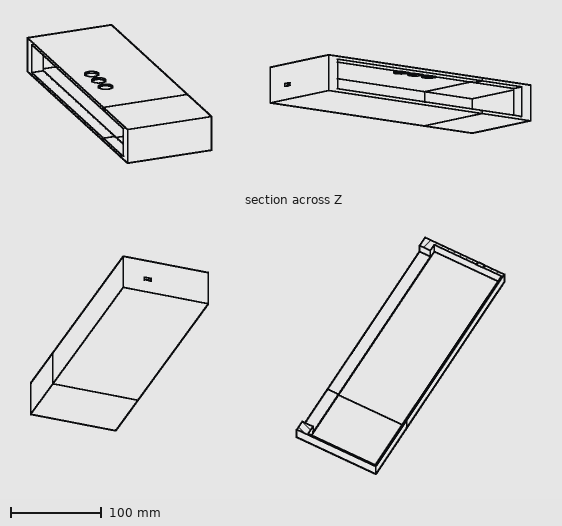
import cadquery as cq

LENGTH = 290.0
DEPTH = 100.0
HEIGHT = 40.0
SEAM_X = 220.0

WALL = 2.0
SLOT_WALL = 4.0
FRAME_DEPTH = 14.0

WINDOW_SIDE = 12.8
WINDOW_RIM = 3.5

BUTTON_DIAMETER = 15.7
BUTTON_COUNT = 3
BUTTON_PITCH = 20.0
BUTTON_MIDDLE_X = LENGTH / 2
BUTTON_Y = 25.2

SLOT_WIDTH = 8.0
SLOT_HEIGHT = 3.2
SLOT_Y = DEPTH - 25.0 - SLOT_WIDTH
SLOT_Z = 15.0


def block(x_range, y_range, z_range):
    """Box spanning the given (start, end) range along each axis."""
    (x0, x1), (y0, y1), (z0, z1) = x_range, y_range, z_range
    return cq.Workplane("XY").box(x1 - x0, y1 - y0, z1 - z0, centered=False).translate((x0, y0, z0))


def case_section(x_start, x_end):
    """Stretch of the hollow case between two X positions, with its share of the window."""
    outside = block((x_start, x_end), (0, DEPTH), (0, HEIGHT))
    cavity = block(
        (max(x_start, SLOT_WALL), min(x_end, LENGTH - WALL)),
        (FRAME_DEPTH, DEPTH - WALL),
        (WALL, HEIGHT - WALL),
    )
    window = block(
        (max(x_start, WINDOW_SIDE), min(x_end, LENGTH - WINDOW_SIDE)),
        (0, FRAME_DEPTH),
        (WINDOW_RIM, HEIGHT - WINDOW_RIM),
    )
    return outside.cut(cavity).cut(window)


def cut_button_holes(case):
    """Cut the row of round holes through the top wall."""
    for index in range(BUTTON_COUNT):
        x = BUTTON_MIDDLE_X + (index - (BUTTON_COUNT - 1) / 2) * BUTTON_PITCH
        hole = (
            cq.Workplane("XY", origin=(x, BUTTON_Y, HEIGHT - WALL))
            .circle(BUTTON_DIAMETER / 2)
            .extrude(WALL)
        )
        case = case.cut(hole)
    return case


def cut_cable_slot(case):
    """Cut the rectangular slot through the -X end wall."""
    slot = block((0, SLOT_WALL), (SLOT_Y, SLOT_Y + SLOT_WIDTH), (SLOT_Z, SLOT_Z + SLOT_HEIGHT))
    return case.cut(slot)


def make_main_case():
    """Longer section, with the button holes and the cable slot."""
    return cut_cable_slot(cut_button_holes(case_section(0, SEAM_X)))


def make_end_case():
    """Shorter section that closes the +X end."""
    return case_section(SEAM_X, LENGTH)


main_case = make_main_case()
end_case = make_end_case()

result = cq.Compound.makeCompound([main_case.val(), end_case.val()])